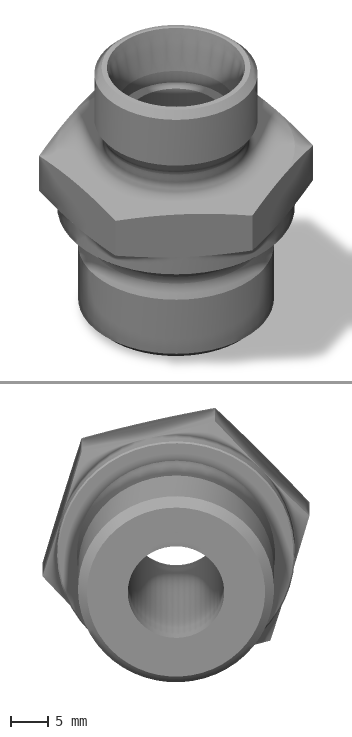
import cadquery as cq
import math

total_height = 39.0
lower_thread_top = 10.05
lower_groove_height = 12.48
flange_bottom = 16.0
hex_bottom = 19.0
hex_top = 26.0
upper_thread_bottom = 30.55

lower_thread_diameter = 26.4
upper_thread_diameter = 22.0
upper_neck_diameter = 19.7
hex_across_flats = 32.0
flange_diameter = hex_across_flats
lower_relief_diameter = 26.68

lower_chamfer = 1.2
upper_chamfer = 0.98
flange_chamfer = 0.2
hex_chamfer_angle = math.radians(15)
runout_angle = math.radians(30)
upper_round = 0.98
lower_groove_round = 1.17

bore_diameter = 13.0
socket_diameter = 16.0
socket_mouth_diameter = 18.6
socket_depth = 8.0
socket_taper_angle = math.radians(12)


def revolve_profile(points):
    """Revolve a closed (radius, height) outline around the Z axis."""
    return cq.Workplane("XZ").polyline(points).close().revolve(360, (0, 0, 0), (0, 1, 0))


def round_circle(body, radius, height, fillet_radius):
    """Fillet the circular edge of the given radius and height."""
    tolerance = 0.005
    circles = [
        edge
        for edge in body.edges("%CIRCLE").vals()
        if abs(edge.radius() - radius) < tolerance and abs(edge.Center().z - height) < tolerance
    ]
    return body.newObject(circles).fillet(fillet_radius)


def make_lower_end():
    """Lower thread, V groove and flange."""
    thread_radius = lower_thread_diameter / 2
    flange_radius = flange_diameter / 2
    runout_height = lower_groove_height - lower_thread_top
    groove_radius = thread_radius - runout_height * math.tan(runout_angle)
    body = revolve_profile([
        (0, 0),
        (thread_radius - lower_chamfer, 0),
        (thread_radius, lower_chamfer),
        (thread_radius, lower_thread_top),
        (groove_radius, lower_groove_height),
        (lower_relief_diameter / 2, flange_bottom),
        (flange_radius - flange_chamfer, flange_bottom),
        (flange_radius, flange_bottom + flange_chamfer),
        (flange_radius, hex_bottom),
        (0, hex_bottom),
    ])
    return round_circle(body, groove_radius, lower_groove_height, lower_groove_round)


def make_hexagon():
    """Hexagon with corners on the Y axis and both ends chamfered conically."""
    corner_radius = hex_across_flats / math.sqrt(3)
    height = hex_top - hex_bottom
    prism = (
        cq.Workplane("XY")
        .workplane(offset=hex_bottom)
        .polygon(6, 2 * corner_radius)
        .extrude(height)
        .rotate((0, 0, 0), (0, 0, 1), 30)
    )
    flat_radius = hex_across_flats / 2
    chamfer_drop = (corner_radius - flat_radius) * math.tan(hex_chamfer_angle)
    envelope = revolve_profile([
        (0, hex_bottom),
        (flat_radius, hex_bottom),
        (corner_radius, hex_bottom + chamfer_drop),
        (corner_radius, hex_top - chamfer_drop),
        (flat_radius, hex_top),
        (0, hex_top),
    ])
    return prism.intersect(envelope)


def make_upper_end():
    """Upper thread and neck, rounded at the runout and at the hexagon face."""
    thread_radius = upper_thread_diameter / 2
    neck_radius = upper_neck_diameter / 2
    runout_height = (thread_radius - neck_radius) / math.tan(runout_angle)
    neck_top = upper_thread_bottom - runout_height
    base_radius = neck_radius + upper_round
    arc_inset = upper_round * (1 - math.sqrt(0.5))
    body = (
        cq.Workplane("XZ")
        .moveTo(0, hex_bottom)
        .lineTo(base_radius, hex_bottom)
        .lineTo(base_radius, hex_top)
        .threePointArc(
            (neck_radius + arc_inset, hex_top + arc_inset),
            (neck_radius, hex_top + upper_round),
        )
        .lineTo(neck_radius, neck_top)
        .lineTo(thread_radius, upper_thread_bottom)
        .lineTo(thread_radius, total_height - upper_chamfer)
        .lineTo(thread_radius - upper_chamfer, total_height)
        .lineTo(0, total_height)
        .close()
        .revolve(360, (0, 0, 0), (0, 1, 0))
    )
    return round_circle(body, neck_radius, neck_top, upper_round)


def make_bore():
    """Through bore, flat-bottomed socket and tapered socket mouth."""
    bore_radius = bore_diameter / 2
    socket_radius = socket_diameter / 2
    mouth_radius = socket_mouth_diameter / 2
    socket_bottom = total_height - socket_depth
    taper_depth = (mouth_radius - socket_radius) / math.tan(socket_taper_angle)
    return revolve_profile([
        (0, 0),
        (bore_radius, 0),
        (bore_radius, socket_bottom),
        (socket_radius, socket_bottom),
        (socket_radius, total_height - taper_depth),
        (mouth_radius, total_height),
        (0, total_height),
    ])


result = make_lower_end().union(make_hexagon()).union(make_upper_end()).cut(make_bore())